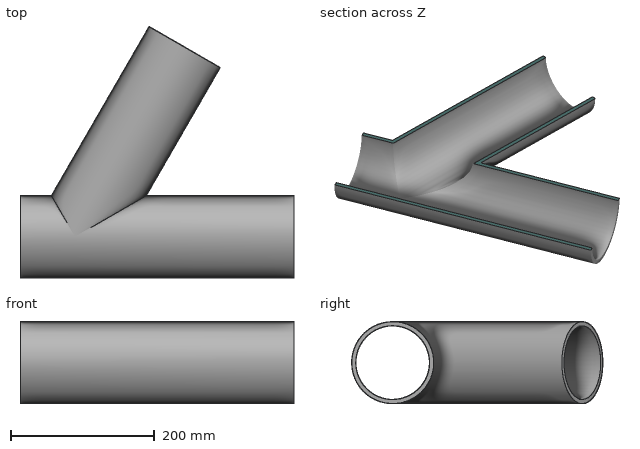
import cadquery as cq
import math

outer_diameter = 114.3
inner_diameter = 102.26
run_length = 381.0
branch_length = 304.8
branch_angle = 60.0
branch_offset = 76.2

run_start = cq.Vector(-branch_offset, 0, 0)
run_direction = cq.Vector(1, 0, 0)
crossing = cq.Vector(0, 0, 0)
branch_direction = cq.Vector(
    math.cos(math.radians(branch_angle)),
    math.sin(math.radians(branch_angle)),
    0,
)


def run_cylinder(diameter):
    """Cylinder along the full length of the run."""
    return cq.Workplane(cq.Solid.makeCylinder(diameter / 2, run_length, run_start, run_direction))


def branch_cylinder(diameter):
    """Cylinder along the branch, starting at the axis crossing."""
    return cq.Workplane(cq.Solid.makeCylinder(diameter / 2, branch_length, crossing, branch_direction))


def lateral_envelope(diameter):
    """Run and branch cylinders of one diameter, joined."""
    return run_cylinder(diameter).union(branch_cylinder(diameter))


result = lateral_envelope(outer_diameter).cut(lateral_envelope(inner_diameter))